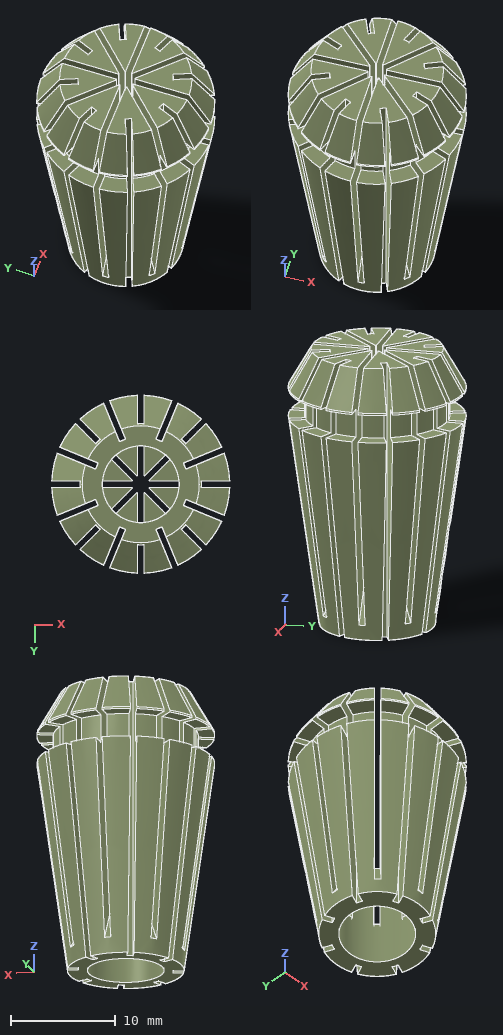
import cadquery as cq
import math

length = 27.5
max_radius = 8.5
body_angle = 8.0
nose_angle = 30.0
body_height = 20.75
groove_height = 2.75
groove_radius = 6.93
rim_height = 0.2

bore_radius = 0.88
relief_radius = 3.65
relief_depth = 13.75

slot_width = 0.6
slots_per_set = 8
slot_pitch = 360.0 / slots_per_set
outer_slot_inner_radius = 4.55
floor_outer_height = 1.55

body_slope = math.tan(math.radians(body_angle))
nose_slope = math.tan(math.radians(nose_angle))
groove_top = body_height + groove_height
rim_top = groove_top + rim_height
bottom_radius = max_radius - body_height * body_slope
nose_radius = max_radius - (length - rim_top) * nose_slope
floor_outer_radius = bottom_radius + floor_outer_height * body_slope


def make_body():
    """Revolve the outer profile and bore it out."""
    body = (
        cq.Workplane("XZ")
        .moveTo(0, 0)
        .lineTo(bottom_radius, 0)
        .lineTo(max_radius, body_height)
        .lineTo(groove_radius, body_height)
        .lineTo(groove_radius, groove_top)
        .lineTo(max_radius, groove_top)
        .lineTo(max_radius, rim_top)
        .lineTo(nose_radius, length)
        .lineTo(0, length)
        .close()
        .revolve(360, (0, 0, 0), (0, 1, 0))
    )
    bore = cq.Workplane("XY").circle(bore_radius).extrude(length)
    relief = cq.Workplane("XY").circle(relief_radius).extrude(relief_depth)
    return body.cut(bore).cut(relief)


def make_slots(inner_radius, start_angle):
    """Full-height radial blades, evenly spaced from start_angle."""
    blade_length = 2 * max_radius - inner_radius
    blade = (
        cq.Workplane("XY")
        .box(blade_length, slot_width, length, centered=(False, True, False))
        .translate((inner_radius, 0, 0))
    )
    slots = cq.Workplane("XY")
    for index in range(slots_per_set):
        angle = start_angle + index * slot_pitch
        slots = slots.add(blade.rotate((0, 0, 0), (0, 0, 1), angle))
    return slots.combine()


def make_floor_cone():
    """Material kept under the through slots: a cone parallel to the nose taper."""
    apex_height = floor_outer_height + floor_outer_radius / nose_slope
    base_radius = apex_height * nose_slope
    return (
        cq.Workplane("XZ")
        .moveTo(0, 0)
        .lineTo(base_radius, 0)
        .lineTo(0, apex_height)
        .close()
        .revolve(360, (0, 0, 0), (0, 1, 0))
    )


inner_slots = make_slots(0, 0).cut(make_floor_cone())

outer_slots = make_slots(outer_slot_inner_radius, slot_pitch / 2)

result = make_body().cut(inner_slots).cut(outer_slots)